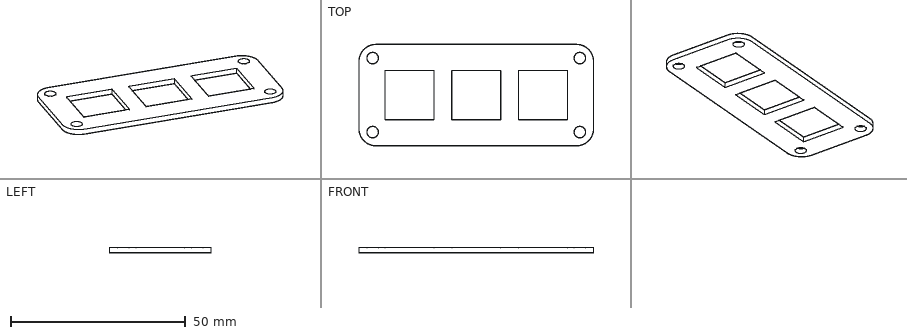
import cadquery as cq

length = 67.15
width = 29.1
thickness = 1.6
corner_radius = 5.0

window_side = 14.0
window_pitch = 19.1
window_count = 3

hole_diameter = 3.2
hole_inset = 3.95

plate = (
    cq.Workplane("XY")
    .box(length, width, thickness)
    .edges("|Z")
    .fillet(corner_radius)
)

windows = (
    cq.Workplane("XY")
    .rarray(window_pitch, window_pitch, window_count, 1)
    .box(window_side, window_side, thickness)
)

mounting_holes = (
    cq.Workplane("XY")
    .rect(length - 2 * hole_inset, width - 2 * hole_inset, forConstruction=True)
    .vertices()
    .circle(hole_diameter / 2)
    .extrude(thickness / 2, both=True)
)

result = plate.cut(windows).cut(mounting_holes)